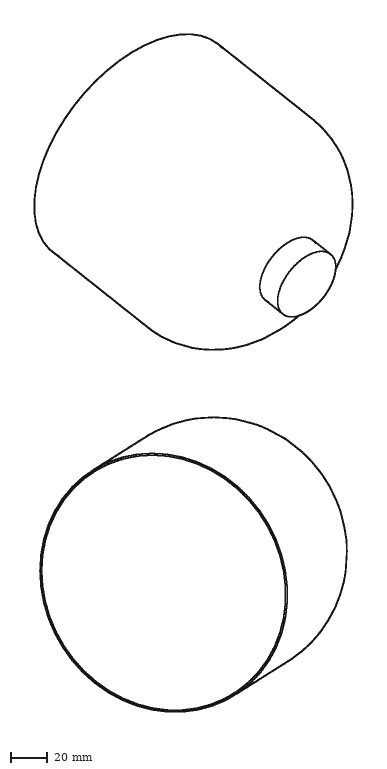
import cadquery as cq

outer_radius = 73.0
wall = 1.0
skirt_length = 80.0
dome_radius = 50.0
stub_radius = 21.0
stub_length = 15.0

dome_end = skirt_length + dome_radius
inner_radius = outer_radius - wall


def domed_cylinder(radius, end, corner_radius):
    """Solid cylinder along +X from the YZ plane, with its far edge rounded."""
    cylinder = cq.Workplane("YZ").circle(radius).extrude(end)
    return cylinder.faces(">X").edges().fillet(corner_radius)


outside = domed_cylinder(outer_radius, dome_end, dome_radius)
cavity = domed_cylinder(inner_radius, dome_end - wall, dome_radius - wall)
bell = outside.cut(cavity)

stub = cq.Workplane("YZ").workplane(offset=dome_end).circle(stub_radius).extrude(stub_length)

result = bell.union(stub)